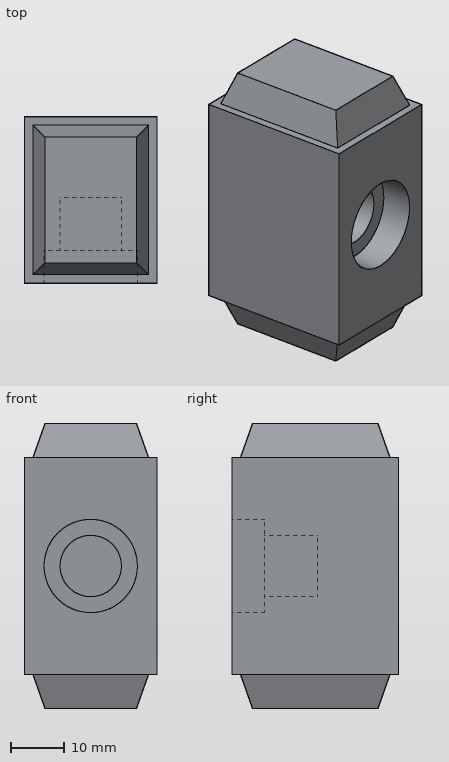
import cadquery as cq

width = 24.85
depth = 31.2
height = 53.45

cap_height = 6.35
cap_step = 1.6
cap_taper = 2.25

counterbore_diameter = 17.5
counterbore_depth = 6.15
bore_diameter = 11.5
bore_depth = 16.05

body_height = height - 2 * cap_height


def make_cap(direction):
    """Rectangular frustum on the upper (+1) or lower (-1) face of the block."""
    base_width = width - 2 * cap_step
    base_depth = depth - 2 * cap_step
    return (
        cq.Workplane("XY")
        .workplane(offset=direction * body_height / 2)
        .rect(base_width, base_depth)
        .workplane(offset=direction * cap_height)
        .rect(base_width - 2 * cap_taper, base_depth - 2 * cap_taper)
        .loft(ruled=True)
    )


def make_hole(diameter, hole_depth):
    """Cylinder running inward (+Y) from the centre of the -Y face."""
    return (
        cq.Workplane("XZ", origin=(0, -depth / 2, 0))
        .circle(diameter / 2)
        .extrude(-hole_depth)
    )


result = cq.Workplane("XY").box(width, depth, body_height)
for direction in (1, -1):
    result = result.union(make_cap(direction))
result = result.cut(make_hole(counterbore_diameter, counterbore_depth))
result = result.cut(make_hole(bore_diameter, bore_depth))